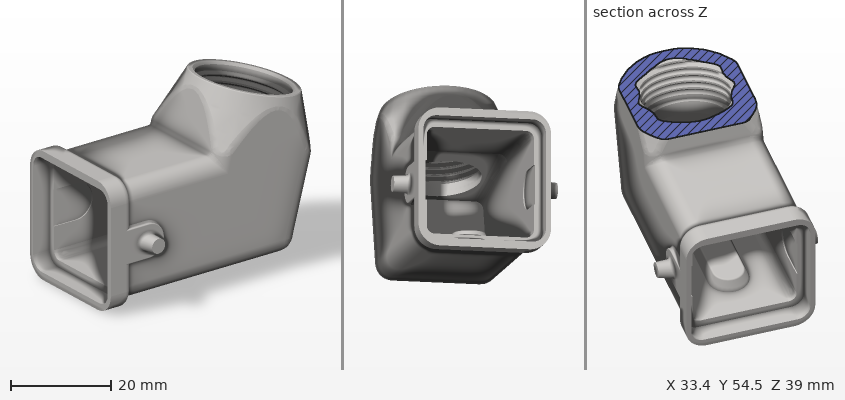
import cadquery as cq
import math


flange_width = 27.05
flange_height = 28.05
flange_length = 5.2
flange_corner = 4.4
flange_round = 1.4
center_z = flange_height / 2

body_width = 24.9
body_height = 25.1
body_corner = 3.55
crook_corner = 3.0
body_bottom = center_z - body_height / 2
body_top = center_z + body_height / 2

tilt = 15
rim_y = 43.1
rim_z = 36.05
rim_radius = 11.65
elbow_half = body_width / 2
collar_angle = 21
collar_depth = 12.55
collar_blend = 2.2
crook_round = 0.85
rim_chamfer = 0.15

thread_major = 20.0
thread_minor = 18.3
thread_pitch = 1.5
thread_flank_angle = 30
thread_root = 0.15
first_groove = 1.25
groove_count = 6
entry_diameter = 21.15
counterbore_depth = 1.85
shoulder_depth = 12.3
hole_diameter = 16.0
hole_overrun = 0.55

mouth_width = 25.0
mouth_height = 24.8
mouth_corner = 2.7
mouth_depth = 4.05
cavity_width = 22.0
cavity_height = 21.7
cavity_rear_width = 20.8
cavity_rear_height = 21.05
cavity_rear_y = 50.15
cavity_corner = 1.65
ceiling_depth = 15.0
back_wall = 2.95

ridge_top_width = 6.5
ridge_height = 2.5
ridge_taper = 23
ridge_length = 54.55
ridge_start_y = 14.45
ridge_edge_round = 0.4

pin_y = 9.5
pin_diameter = 3.2
pin_span = 33.4
pin_base_length = 4.35
pin_base_height = 3.55
pin_base_shift = 0.45
pin_foot_round = 0.5
pad_radius = 3.75
pad_edge_round = 0.2
pad_skirt = 0.3
pad_skirt_taper = 45
pad_start_y = 1.65
pad_embed = 0.55
recess_diameter = 8.0
recess_span = 22.3

sin_t = math.sin(math.radians(tilt))
cos_t = math.cos(math.radians(tilt))

rim_plane = cq.Plane(origin=(0, rim_y, rim_z), xDir=(1, 0, 0), normal=(0, sin_t, cos_t))


def elbow_point(offset, depth):
    """(Y, Z) of a point at an offset across the elbow and a depth below its rim."""
    return (rim_y + offset * cos_t - depth * sin_t, rim_z - offset * sin_t - depth * cos_t)


def elbow_point_at_height(offset, z):
    """(Y, Z) where a line along the elbow at the given offset reaches height z."""
    return elbow_point(offset, (rim_z - offset * sin_t - z) / cos_t)


def revolve_about_elbow(outline):
    """Turn (radius, height) points about the elbow axis, height 0 being the rim."""
    turned = cq.Workplane("XZ").polyline(outline).close().revolve(360, (0, 0, 0), (0, 1, 0))
    return cq.Workplane(turned.val().moved(rim_plane.location))


def front_bar(width, height, corner, length):
    """Rounded bar running along +Y from the mouth."""
    bar = cq.Workplane("XZ", origin=(0, 0, center_z)).rect(width, height).extrude(-length)
    return bar.edges("|Y").fillet(corner)


def make_body():
    """Bent outer block with rounded edges, the elbow still square up to its rim."""
    profile = [
        (0, body_bottom),
        elbow_point_at_height(elbow_half, body_bottom),
        elbow_point(elbow_half, 0),
        elbow_point(-elbow_half, 0),
        elbow_point_at_height(-elbow_half, body_top),
        (0, body_top),
    ]
    heel_y = profile[1][0]
    crook_y = profile[4][0]
    body = cq.Workplane("YZ").polyline(profile).close().extrude(elbow_half, both=True)
    heel = cq.selectors.NearestToPointSelector((0, heel_y, body_bottom))
    body = body.edges("|Y").fillet(body_corner)
    body = body.edges(heel).fillet(body_corner)
    elbow_edges = cq.selectors.ParallelDirSelector(rim_plane.zDir)
    body = body.edges(elbow_edges).fillet(crook_corner)
    crook = cq.selectors.NearestToPointSelector((0, crook_y, body_top))
    body = body.edges(crook).fillet(crook_round)
    return body


def make_collar_trim():
    """Ring of material to remove around the conical collar."""
    base_radius = rim_radius + collar_depth * math.tan(math.radians(collar_angle))
    reach = 2 * elbow_half
    section = [
        (rim_radius - rim_chamfer, 0),
        (rim_radius, -rim_chamfer),
        (base_radius, -collar_depth),
        (reach, -collar_depth),
        (reach, 0),
    ]
    return revolve_about_elbow(section)


def make_flange():
    """Collar around the mouth, rounded over towards the body."""
    flange = front_bar(flange_width, flange_height, flange_corner, flange_length)
    return flange.faces(">Y").edges().fillet(flange_round)


def pad_outline(side, start_x, radius):
    """Tongue outline facing outward: straight sides from inside the flange, round about the pin axis."""
    facing = cq.Plane(origin=(side * start_x, pin_y, center_z), xDir=(0, 1, 0), normal=(side, 0, 0))
    straight = pin_y - pad_start_y
    return (
        cq.Workplane(facing)
        .moveTo(-straight, -radius)
        .lineTo(0, -radius)
        .threePointArc((radius, 0), (0, radius))
        .lineTo(-straight, radius)
        .close()
    )


def make_pad_and_pin(side):
    """Pad flush with the flange side and the pin on it; side is +1 or -1 along X."""
    body_x = body_width / 2
    pad_x = flange_width / 2
    pad = pad_outline(side, body_x - pad_embed, pad_radius).extrude(pad_x - body_x + pad_embed)
    outer_face = ">X" if side > 0 else "<X"
    pad = pad.faces(outer_face).edges().fillet(pad_edge_round)
    skirt = pad_outline(side, body_x, pad_radius + pad_skirt).extrude(pad_skirt, taper=pad_skirt_taper)
    facing = cq.Plane(origin=(side * pad_x, pin_y, center_z), xDir=(0, 1, 0), normal=(side, 0, 0))
    pin = (
        cq.Workplane(facing)
        .center(-pin_base_shift, 0)
        .ellipse(pin_base_length / 2, pin_base_height / 2)
        .workplane(offset=pin_span / 2 - pad_x)
        .center(pin_base_shift, 0)
        .circle(pin_diameter / 2)
        .loft()
    )
    pad = pad.union(pin)
    foot_y = pin_y - pin_base_shift - pin_base_length / 2
    foot = cq.selectors.NearestToPointSelector((side * pad_x, foot_y, center_z))
    pad = pad.edges(foot).fillet(pin_foot_round)
    return pad.union(skirt)


def make_cavity():
    """Stepped mouth and slightly tapering tunnel, closed by the tilted ceiling and back wall."""
    mouth = front_bar(mouth_width, mouth_height, mouth_corner, mouth_depth)
    tunnel = (
        cq.Workplane("XZ", origin=(0, 0, center_z))
        .rect(cavity_width, cavity_height)
        .workplane(offset=-cavity_rear_y)
        .rect(cavity_rear_width, cavity_rear_height)
        .loft()
    )
    inner_half = elbow_half - back_wall
    ceiling_front = elbow_point(-2 * elbow_half, ceiling_depth)
    limits = [
        (0, 0),
        elbow_point_at_height(inner_half, 0),
        elbow_point(inner_half, ceiling_depth),
        ceiling_front,
        (0, ceiling_front[1]),
    ]
    envelope = cq.Workplane("YZ").polyline(limits).close().extrude(cavity_width, both=True)
    tunnel = tunnel.intersect(envelope)

    cavity_back_y = elbow_point_at_height(inner_half, 0)[0]

    def is_corner(edge):
        middle = edge.Center()
        return abs(middle.x) > cavity_rear_width / 4 and 0 < round(middle.y, 1) < cavity_back_y

    tunnel = tunnel.newObject(tunnel.edges().filter(is_corner).vals()).fillet(cavity_corner)
    cavity = tunnel.cut(make_ridge()).union(mouth)
    return cavity.union(make_recess())


def make_ridge():
    """Flat-topped rib on the cavity floor, rounded at the mouth end."""
    floor_z = center_z - cavity_height / 2
    spread = ridge_height * math.tan(math.radians(ridge_taper))
    base_width = ridge_top_width + 2 * spread
    ridge = (
        cq.Workplane("XY", origin=(0, ridge_start_y + (ridge_length - base_width) / 2, floor_z))
        .slot2D(ridge_length, base_width, 90)
        .extrude(ridge_height, taper=ridge_taper)
    )
    return ridge.faces(">Z").edges().fillet(ridge_edge_round)


def make_recess():
    """Shallow round-ended grooves in both cavity side walls, behind the pads."""
    slab = cq.Workplane("YZ").moveTo(pin_y, center_z).circle(recess_diameter / 2)
    slab = slab.extrude(recess_span / 2, both=True)
    run = pin_y - mouth_depth
    channel = cq.Workplane("YZ").moveTo(pin_y - run / 2, center_z).rect(run, recess_diameter)
    return slab.union(channel.extrude(recess_span / 2, both=True))


def make_entry():
    """Threaded bore with lead-in chamfer, counterbore, ring grooves and cable hole."""
    minor = thread_minor / 2
    major = thread_major / 2
    flank = (major - minor) * math.tan(math.radians(thread_flank_angle))
    chamfer = (entry_diameter - thread_major) / 2
    outline = [(0, 0), (entry_diameter / 2, 0), (major, -chamfer), (major, -counterbore_depth)]
    outline.append((minor, -counterbore_depth - flank))
    for groove in range(groove_count):
        middle = -counterbore_depth - first_groove - groove * thread_pitch
        outline.append((minor, middle + thread_root / 2 + flank))
        outline.append((major, middle + thread_root / 2))
        outline.append((major, middle - thread_root / 2))
        outline.append((minor, middle - thread_root / 2 - flank))
    outline.append((minor, -shoulder_depth))
    outline.append((hole_diameter / 2, -shoulder_depth))
    outline.append((hole_diameter / 2, -ceiling_depth - hole_overrun))
    outline.append((0, -ceiling_depth - hole_overrun))
    return revolve_about_elbow(outline)


result = make_body().cut(make_collar_trim())
result = result.edges("%HYPERBOLA").fillet(collar_blend)
result = result.union(make_flange())
for side in (-1, 1):
    result = result.union(make_pad_and_pin(side))
result = result.cut(make_cavity()).cut(make_entry())